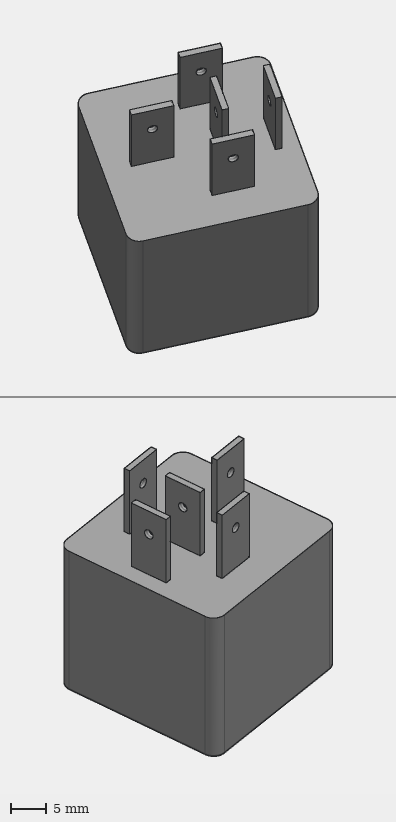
import cadquery as cq

body_side = 28.5
total_height = 36.8
blade_length = 11.5
body_height = total_height - blade_length
corner_radius = 2.0
base_edge_radius = 0.4

blade_width = 6.3
blade_thickness = 1.0
hole_diameter = 1.5
hole_below_tip = 4.2

side_blade_x = 8.35
side_blade_y = 2.7
front_blade_y = -6.9
middle_blade_y = 3.13
rear_blade_y = 11.05

terminals = [
    (0, rear_blade_y, 0),
    (0, middle_blade_y, 0),
    (-side_blade_x, side_blade_y, 90),
    (side_blade_x, side_blade_y, 90),
    (0, front_blade_y, 90),
]


def make_housing():
    """Square block with rounded upright corners and a softened bottom edge."""
    block = cq.Workplane("XY").rect(body_side, body_side).extrude(body_height)
    return block.edges("|Z").fillet(corner_radius).faces("<Z").edges().fillet(base_edge_radius)


def make_blade():
    """Flat blade standing on the housing top, with a hole through its thickness."""
    blade = (
        cq.Workplane("XY", origin=(0, 0, body_height))
        .rect(blade_width, blade_thickness)
        .extrude(blade_length)
    )
    hole = (
        cq.Workplane("XZ", origin=(0, 0, total_height - hole_below_tip))
        .circle(hole_diameter / 2)
        .extrude(blade_thickness, both=True)
    )
    return blade.cut(hole)


result = make_housing()
for x, y, angle in terminals:
    blade = make_blade().rotate((0, 0, 0), (0, 0, 1), angle).translate((x, y, 0))
    result = result.union(blade)